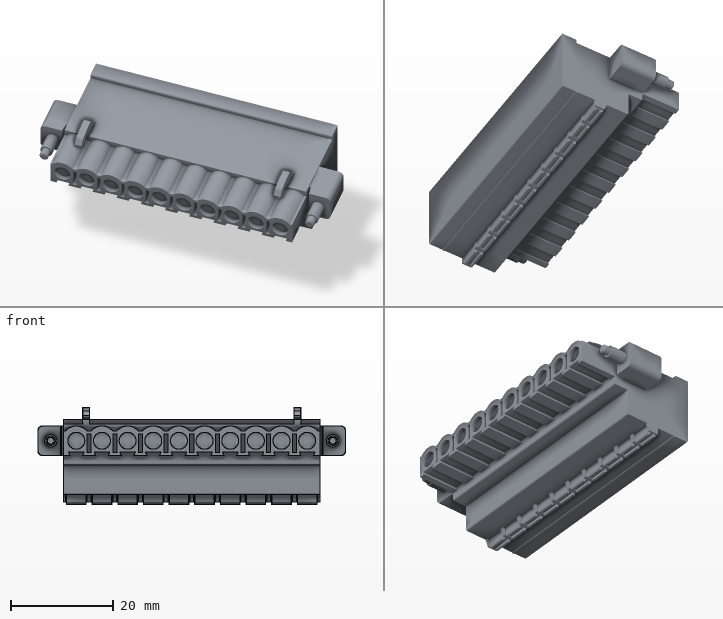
import cadquery as cq


pole_count = 10
overall_length = 60.1
housing_length = 50.05
pole_pitch = housing_length / pole_count
housing_end = housing_length / 2
housing_back = 18.35
housing_top = 13.75
lower_front = 3.25
step_height = 5.75
edge_radius = 0.3

joint_overlap = 0.3

back_ridge_top = 14.65
back_ridge_width = 3.25
back_ridge_radius = 0.35
bead_center = 15.0
bead_width = 0.5
bead_height = 0.2

sleeve_front = -8.3
sleeve_bottom = 7.6
sleeve_height = 5.8
axis_height = sleeve_bottom + sleeve_height / 2
sleeve_shoulder = 12.45
sleeve_radius = 2.9
bore_radius = 3.3 / 2
bore_depth = 0.95
slot_width = 0.8
slot_bottom = 8.25
slot_top = 11.8
groove_top_width = 3.0
groove_bottom_width = 2.45
groove_depth = 0.7

flange_back = 7.65
flange_height = sleeve_height
flange_radius = 1.0
gap_depth = 1.75
gap_front_width = 0.6
gap_floor_width = 0.35
screw_position = 27.5
screw_radius = 2.45 / 2
screw_length = 3.65
tip_radius = 0.9
tip_length = 1.6
tip_chamfer = 0.25

hook_position = 20.6
hook_width = 1.4
hook_back = 4.85
hook_root_radius = 2.05
hook_slope_start = (3.4, 14.35)
hook_outline = [
    (0.9, 17.0),
    (-0.55, 17.0),
    (-1.15, 16.95),
    (-3.25, 16.5),
    (-3.6, 16.35),
    (-4.55, 15.4),
    (-4.25, 14.95),
    (-3.6, 14.65),
    (-3.25, 14.65),
    (-3.2, 15.0),
    (-1.5, 15.2),
    (-0.25, 15.2),
    (0, 15.0),
]

foot_width = 3.85
foot_front = 8.7
foot_back = 10.7
foot_height = 2.0
toe_bevel_width = 0.1
toe_bevel_height = 0.3
foot_notch_width = 0.85
foot_notch_depth = 0.55
spacer_width = 0.85
spacer_front = 8.1
spacer_back = 10.8
spacer_height = 1.5

pole_positions = [(i - (pole_count - 1) / 2) * pole_pitch for i in range(pole_count)]
boundary_positions = [(i - pole_count / 2) * pole_pitch for i in range(1, pole_count)]


def box(x_range, y_range, z_range):
    """Block between the given limits along each axis."""
    size = [high - low for low, high in (x_range, y_range, z_range)]
    return cq.Workplane("XY").box(*size, centered=False).translate((x_range[0], y_range[0], z_range[0]))


def centered_span(center, width):
    return (center - width / 2, center + width / 2)


def extrude_across(outline, center, width):
    """Extrude a (Y, Z) outline along X, centred on the given X position."""
    start = center - width / 2
    return cq.Workplane("YZ", origin=(start, 0, 0)).polyline(outline).close().extrude(width)


def rod(x, back, front, radius):
    """Cylinder on the plug axis height, running toward the front."""
    return cq.Workplane("XZ", origin=(x, back, axis_height)).circle(radius).extrude(back - front)


def make_housing():
    ridge_front = housing_back - back_ridge_width
    outline = [
        (lower_front, 0),
        (housing_back, 0),
        (housing_back, back_ridge_top),
        (ridge_front, back_ridge_top),
        (ridge_front, housing_top),
        (0, housing_top),
        (0, step_height),
        (lower_front, step_height),
    ]
    housing = extrude_across(outline, 0, housing_length)
    rounded_edges = [
        (lower_front, 0, edge_radius),
        (housing_back, 0, edge_radius),
        (0, step_height, edge_radius),
        (ridge_front, back_ridge_top, back_ridge_radius),
    ]
    for y, z, radius in rounded_edges:
        housing = housing.edges(cq.NearestToPointSelector((0, y, z))).fillet(radius)
    bead = box(
        (-housing_end, housing_end),
        centered_span(bead_center, bead_width),
        (-bead_height, joint_overlap),
    )
    return housing.union(bead)


def make_sleeves():
    """Row of round-topped sleeves joined side by side."""
    length = -sleeve_front
    sleeves = box((-housing_end, housing_end), (sleeve_front, 0), (sleeve_bottom, sleeve_shoulder))
    for x in pole_positions:
        crown = rod(x, 0, sleeve_front, sleeve_radius)
        shoulder_cap = box(
            centered_span(x, pole_pitch),
            (sleeve_front, 0),
            (axis_height, axis_height + sleeve_radius),
        )
        sleeves = sleeves.union(crown.intersect(shoulder_cap))
    for x in pole_positions:
        sleeves = sleeves.cut(rod(x, sleeve_front + bore_depth, sleeve_front, bore_radius))
        groove = (
            cq.Workplane("XZ", origin=(x, 0, sleeve_bottom))
            .moveTo(-groove_bottom_width / 2, 0)
            .lineTo(groove_bottom_width / 2, 0)
            .lineTo(groove_top_width / 2, groove_depth)
            .lineTo(-groove_top_width / 2, groove_depth)
            .close()
            .extrude(length)
        )
        sleeves = sleeves.cut(groove)
    for x in boundary_positions:
        sleeves = sleeves.cut(
            box(centered_span(x, slot_width), (sleeve_front, 0), (slot_bottom, slot_top))
        )
    return sleeves


def make_flange():
    """Screw flange on the +X end, with its captive screw."""
    flange = box(
        (housing_end, overall_length / 2),
        (0, flange_back),
        centered_span(axis_height, flange_height),
    )
    flange = flange.edges("|Y and >X").fillet(flange_radius)
    gap = (
        cq.Workplane("XY", origin=(housing_end, 0, axis_height - flange_height / 2))
        .polyline([(0, 0), (gap_front_width, 0), (gap_floor_width, gap_depth), (0, gap_depth)])
        .close()
        .extrude(flange_height)
    )
    shank = rod(screw_position, 0, -screw_length, screw_radius)
    tip = rod(screw_position, -screw_length, -screw_length - tip_length, tip_radius)
    tip = tip.faces("<Y").chamfer(tip_chamfer)
    return flange.cut(gap).union(shank).union(tip)


def make_hook(x):
    """Latch hook rising from the front edge and reaching forward."""
    return (
        cq.Workplane("YZ", origin=(x - hook_width / 2, 0, 0))
        .moveTo(0, housing_top - joint_overlap)
        .lineTo(hook_back, housing_top - joint_overlap)
        .lineTo(hook_back, housing_top)
        .radiusArc(hook_slope_start, hook_root_radius)
        .polyline(hook_outline, includeCurrent=True)
        .close()
        .extrude(hook_width)
    )


def make_foot(x):
    """Foot split lengthwise by a notch into two toes."""
    bevel_top = toe_bevel_height - foot_height
    outline = [
        (foot_front, joint_overlap),
        (foot_front, bevel_top),
        (foot_front + toe_bevel_width, -foot_height),
        (foot_back - toe_bevel_width, -foot_height),
        (foot_back, bevel_top),
        (foot_back, joint_overlap),
    ]
    foot = extrude_across(outline, x, foot_width)
    notch = box(
        centered_span(x, foot_width),
        centered_span((foot_front + foot_back) / 2, foot_notch_width),
        (-foot_height, foot_notch_depth - foot_height),
    )
    return foot.cut(notch)


def make_spacer(x, width):
    """Wedge that stands between two feet."""
    outline = [
        (spacer_front, 0),
        (foot_front, -spacer_height),
        (spacer_back, -spacer_height),
        (spacer_back, 0),
    ]
    return extrude_across(outline, x, width)


result = make_housing().union(make_sleeves())

right_flange = make_flange()
result = result.union(right_flange).union(right_flange.mirror("YZ"))

for side in (-1, 1):
    result = result.union(make_hook(side * hook_position))
    result = result.union(make_spacer(side * (housing_end - spacer_width / 4), spacer_width / 2))

for x in pole_positions:
    result = result.union(make_foot(x))

for x in boundary_positions:
    result = result.union(make_spacer(x, spacer_width))